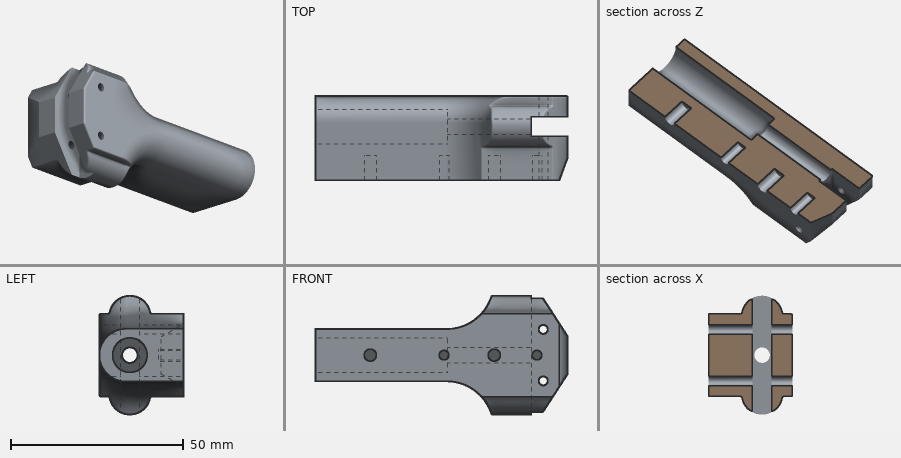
import cadquery as cq
import math

length = 73.2
depth = 24.45
height = 34.5

handle_length = 38.2
handle_radius = 7.6
handle_round_y = depth - handle_radius

axis_y = 15.6

head_length = length - handle_length
block_half_height = 12.0
rib_radius = 6.0
rib_center_z = height / 2 - rib_radius

flare_radius = 13.5
flare_axis_z = handle_radius + flare_radius

nose_half_height = 5.4
nose_taper_angle = 33
bevel_length = 2.4
bevel_depth = 6.6

slot_start = 62.65
slot_width = 5.55

socket_diameter = 10.0
socket_depth = handle_length
bore_diameter = 4.5

blind_depth = 7.3
pin_diameter = 3.5
pin_xs = (15.95, 51.9)
screw_diameter = 2.8
screw_xs = (37.3, 64.3)
through_diameter = 2.55
through_x = 66.1
through_z = 7.5

edge_radius = 0.5
rib_root_radius = 0.5

tolerance = 0.01


def make_handle():
    return (
        cq.Workplane("YZ")
        .moveTo(0, -handle_radius)
        .lineTo(handle_round_y, -handle_radius)
        .threePointArc((depth, 0), (handle_round_y, handle_radius))
        .lineTo(0, handle_radius)
        .close()
        .extrude(handle_length)
    )


def is_rib_root(edge):
    """True for the lengthwise edges where a rib leaves the block."""
    center = edge.Center()
    at_block_face = abs(abs(center.z) - block_half_height) < tolerance
    return at_block_face and tolerance < center.y < depth - tolerance


def make_head_blank():
    plane = cq.Workplane("YZ", origin=(handle_length, 0, 0))
    blank = plane.center(depth / 2, 0).rect(depth, 2 * block_half_height).extrude(head_length)
    for side in (1, -1):
        plane = cq.Workplane("YZ", origin=(handle_length, axis_y, side * rib_center_z))
        blank = blank.union(plane.circle(rib_radius).extrude(head_length))
    roots = [edge for edge in blank.edges("|X").vals() if is_rib_root(edge)]
    return blank.newObject(roots).fillet(rib_root_radius)


def make_flare_cutter():
    """Space above the flare: the handle's upper outline turned about the flare axis."""
    return (
        cq.Workplane("YZ", origin=(handle_length, 0, 0))
        .moveTo(0, flare_axis_z)
        .lineTo(0, handle_radius)
        .lineTo(handle_round_y, handle_radius)
        .radiusArc((depth, 0), handle_radius)
        .lineTo(depth, flare_axis_z)
        .close()
        .revolve(360, (0, flare_axis_z, 0), (1, flare_axis_z, 0))
    )


def make_nose_cutter():
    """Wedge above the tapered upper side of the nose."""
    rise = height / 2
    run = rise * math.tan(math.radians(nose_taper_angle))
    return (
        cq.Workplane("XZ")
        .moveTo(length, nose_half_height)
        .lineTo(length, nose_half_height + rise)
        .lineTo(length - run, nose_half_height + rise)
        .close()
        .extrude(-depth)
    )


def make_head():
    head = make_head_blank()
    for cutter in (make_flare_cutter(), make_nose_cutter()):
        head = head.cut(cutter).cut(cutter.mirror("XY"))
    return head


def is_head_outline(edge):
    """True for the edges around the flare, ribs and nose, except those of the front face."""
    box = edge.BoundingBox()
    on_front = box.ymax < tolerance
    touches_handle = box.xmin < handle_length + tolerance
    if on_front or touches_handle:
        return False
    on_back = box.ymin > depth - tolerance
    lengthwise = box.ylen < tolerance and box.zlen < tolerance
    return on_back or not lengthwise


def round_head_edges(body):
    outline = [edge for edge in body.edges().vals() if is_head_outline(edge)]
    return body.newObject(outline).fillet(edge_radius)


def make_nose_bevel():
    return (
        cq.Workplane("XY", origin=(0, 0, -height / 2))
        .moveTo(length - bevel_length, 0)
        .lineTo(length, 0)
        .lineTo(length, bevel_depth)
        .close()
        .extrude(height)
    )


def make_slot():
    slot_length = length - slot_start
    slot = cq.Workplane("XY").box(slot_length, slot_width, height, centered=(False, True, True))
    return slot.translate((slot_start, axis_y, 0))


def make_bore():
    plane = cq.Workplane("YZ", origin=(0, axis_y, 0))
    bore = plane.circle(bore_diameter / 2).extrude(length)
    socket = plane.circle(socket_diameter / 2).extrude(socket_depth)
    return bore.union(socket)


def make_front_hole(x, z, diameter, hole_depth):
    return cq.Workplane("XZ", origin=(x, 0, z)).circle(diameter / 2).extrude(-hole_depth)


result = round_head_edges(make_handle().union(make_head()))
result = result.cut(make_nose_bevel()).cut(make_slot()).cut(make_bore())

for pin_x in pin_xs:
    result = result.cut(make_front_hole(pin_x, 0, pin_diameter, blind_depth))
for screw_x in screw_xs:
    result = result.cut(make_front_hole(screw_x, 0, screw_diameter, blind_depth))

for side in (1, -1):
    result = result.cut(make_front_hole(through_x, side * through_z, through_diameter, depth))